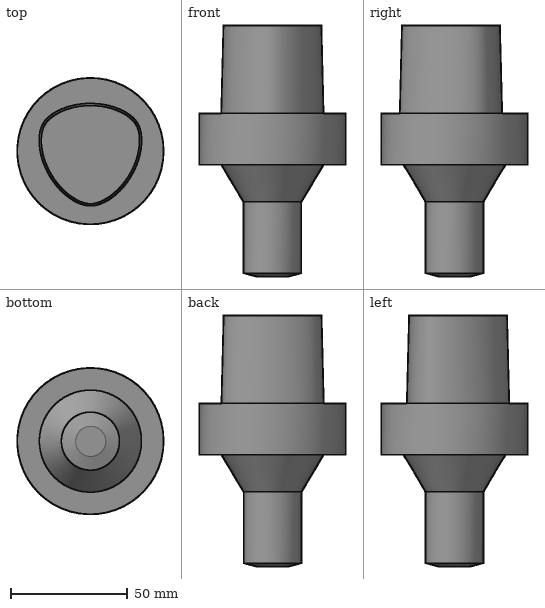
import cadquery as cq
import math

total_height = 108.0
tip_height = 1.6
stem_top = 32.2
cone_top = 48.1
flange_top = 70.2

stem_diameter = 25.0
tip_diameter = 13.0
cone_top_diameter = 43.8
flange_diameter = 63.0

shank_base_width = 44.1
shank_taper = 1 / 20
lobe_eccentricity = 1.5
profile_points = 72


def make_turned_body():
    """Tip, stem, cone and flange, revolved about Z."""
    return (
        cq.Workplane("XZ")
        .moveTo(0, 0)
        .lineTo(tip_diameter / 2, 0)
        .lineTo(stem_diameter / 2, tip_height)
        .lineTo(stem_diameter / 2, stem_top)
        .lineTo(cone_top_diameter / 2, cone_top)
        .lineTo(flange_diameter / 2, cone_top)
        .lineTo(flange_diameter / 2, flange_top)
        .lineTo(0, flange_top)
        .close()
        .revolve(360, (0, 0, 0), (0, 1, 0))
    )


def lobed_wire(width, height):
    """Closed three-lobed curve of constant width, with one lobe toward -Y."""
    points = []
    for index in range(profile_points):
        angle = 2 * math.pi * index / profile_points
        along_lobe = (
            width / 2 * math.cos(angle)
            + lobe_eccentricity * (2 * math.cos(2 * angle) - math.cos(4 * angle))
        )
        across_lobe = (
            width / 2 * math.sin(angle)
            - lobe_eccentricity * (2 * math.sin(2 * angle) + math.sin(4 * angle))
        )
        points.append(cq.Vector(across_lobe, -along_lobe, height))
    return cq.Wire.assembleEdges([cq.Edge.makeSpline(points, periodic=True)])


def make_shank():
    """Polygonal taper that narrows from the flange to the top."""
    top_width = shank_base_width - shank_taper * (total_height - flange_top)
    base = lobed_wire(shank_base_width, flange_top)
    top = lobed_wire(top_width, total_height)
    return cq.Solid.makeLoft([base, top], True)


result = make_turned_body().union(cq.Workplane(obj=make_shank()))